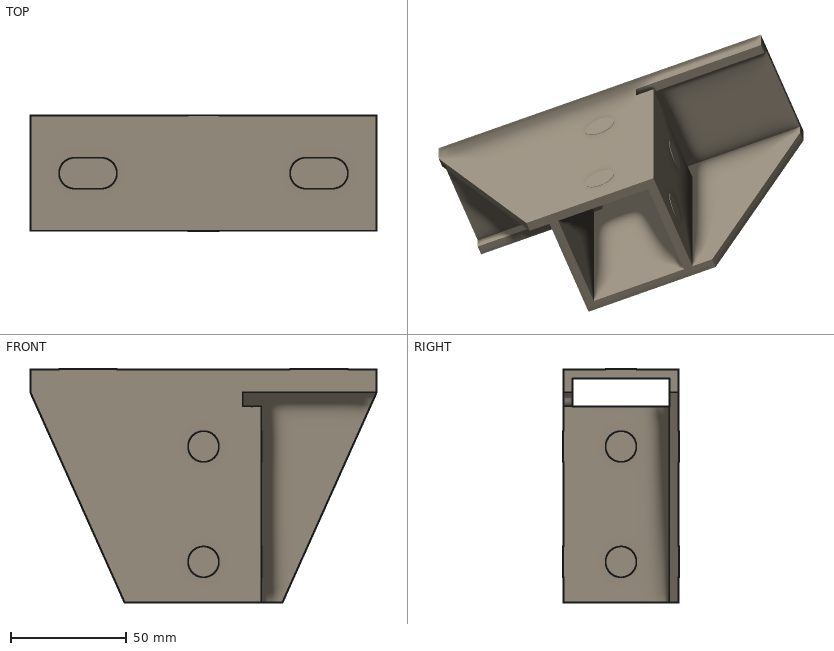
import cadquery as cq

length = 150.0
overall_width = 50.4
overall_height = 101.2
pad_height = 0.2
sheet = 4.0
flange_depth = 10.0
foot_width = 68.4
relief_length = 8.1
relief_height = 6.0
pad_diameter = 13.4
pad_pitch = 50.0
upper_pad_drop = 33.5
slot_length = 25.0
slot_pitch = 100.0

width = overall_width - 2 * pad_height
height = overall_height - pad_height
tube_side = width
tube_top = height - flange_depth - relief_height
half_length = length / 2
half_tube = tube_side / 2
inner_half_width = width / 2 - sheet


def box(x_min, x_max, y_min, y_max, z_min, z_max):
    """Box given by its limits along each axis."""
    size = (x_max - x_min, y_max - y_min, z_max - z_min)
    return cq.Workplane("XY").box(*size, centered=False).translate((x_min, y_min, z_min))


def half_turn(shape):
    """Copy of a shape turned half way around the vertical axis."""
    return shape.rotate((0, 0, 0), (0, 0, 1), 180)


def front_web():
    """Winged front plate: flange on top, relief notch beside the tube corner."""
    shoulder = height - flange_depth
    outline = [
        (-half_length, height),
        (half_length, height),
        (half_length, shoulder),
        (half_tube - relief_length, shoulder),
        (half_tube - relief_length, tube_top),
        (half_tube, tube_top),
        (half_tube, 0),
        (-foot_width / 2, 0),
        (-half_length, shoulder),
    ]
    plate = cq.Workplane("XZ").polyline(outline).close().extrude(sheet)
    return plate.translate((0, -inner_half_width, 0))


def side_wall():
    """Tube wall bent back from the free edge of the front plate."""
    return box(half_tube - sheet, half_tube, -width / 2, inner_half_width, 0, tube_top)


def round_pads(plane):
    """Pair of thin round pads on a tube face; the plane sets the face."""
    upper = height - upper_pad_drop
    centres = [(0, upper), (0, upper - pad_pitch)]
    return (
        cq.Workplane(plane)
        .workplane(offset=half_tube)
        .pushPoints(centres)
        .circle(pad_diameter / 2)
        .extrude(pad_height)
    )


def slot_pads():
    """Two thin slot-shaped pads on the top plate."""
    return (
        cq.Workplane("XY")
        .workplane(offset=height)
        .pushPoints([(-slot_pitch / 2, 0), (slot_pitch / 2, 0)])
        .slot2D(slot_length, pad_diameter)
        .extrude(pad_height)
    )


top_plate = box(-half_length, half_length, -width / 2, width / 2, height - sheet, height)
bent_half = front_web().union(side_wall())
body = top_plate.union(bent_half).union(half_turn(bent_half))

for face_plane in ("XZ", "YZ"):
    pads = round_pads(face_plane)
    body = body.union(pads).union(half_turn(pads))

result = body.union(slot_pads())